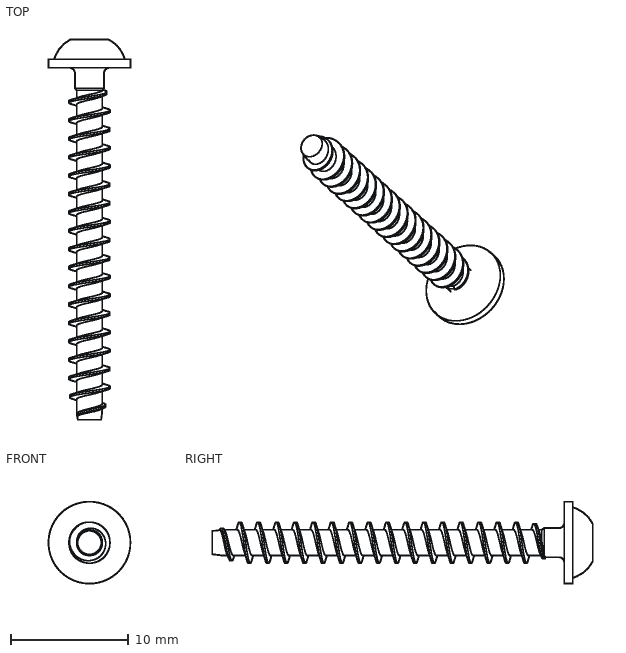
import cadquery as cq
import math

TOTAL_LENGTH = 32.4

FLANGE_RADIUS = 3.5
FLANGE_THICKNESS = 0.75
DOME_HEIGHT = 1.7
DOME_BASE_RADIUS = 3.0
DOME_MID_RADIUS = 2.53
DOME_MID_HEIGHT = 0.95
DOME_TOP_RADIUS = 1.62

SHANK_RADIUS = 1.247
SHANK_LENGTH = 1.72
NECK_FILLET = 0.45
CORE_RADIUS = 1.1
SHOULDER_LENGTH = 0.2
TIP_RADIUS = 1.0
TIP_TAPER_LENGTH = 0.8

PITCH = 1.568
CREST_RADIUS = 1.75
CREST_WIDTH = 0.15
ROOT_RADIUS = 0.9
ROOT_WIDTH = 0.58
START_CREST_RADIUS = 1.35
END_CREST_RADIUS = 1.07
FADE_IN_TURNS = 0.75
FULL_TURNS = 15.9
FADE_OUT_TURNS = 1.1
POINTS_PER_TURN = 16

HEAD_HEIGHT = FLANGE_THICKNESS + DOME_HEIGHT
TIP_Y = HEAD_HEIGHT - TOTAL_LENGTH


def make_body():
    """Revolve the head, shank and core about the Y axis."""
    fillet_mid = NECK_FILLET * (1 - math.sqrt(0.5))
    return (
        cq.Workplane("XY")
        .moveTo(0, HEAD_HEIGHT)
        .lineTo(DOME_TOP_RADIUS, HEAD_HEIGHT)
        .threePointArc(
            (DOME_MID_RADIUS, FLANGE_THICKNESS + DOME_MID_HEIGHT),
            (DOME_BASE_RADIUS, FLANGE_THICKNESS),
        )
        .lineTo(FLANGE_RADIUS, FLANGE_THICKNESS)
        .lineTo(FLANGE_RADIUS, 0)
        .lineTo(SHANK_RADIUS + NECK_FILLET, 0)
        .threePointArc(
            (SHANK_RADIUS + fillet_mid, -fillet_mid),
            (SHANK_RADIUS, -NECK_FILLET),
        )
        .lineTo(SHANK_RADIUS, -SHANK_LENGTH)
        .lineTo(CORE_RADIUS, -SHANK_LENGTH - SHOULDER_LENGTH)
        .lineTo(CORE_RADIUS, TIP_Y + TIP_TAPER_LENGTH)
        .lineTo(TIP_RADIUS, TIP_Y)
        .lineTo(0, TIP_Y)
        .close()
        .revolve(360, (0, 0, 0), (0, 1, 0))
    )


def helix_point(turn, radius, offset):
    """Point on a helix that starts at -Z and turns towards +X as it runs to -Y."""
    angle = 2 * math.pi * turn
    y = -SHANK_LENGTH - PITCH * turn + offset
    return cq.Vector(radius * math.sin(angle), y, -radius * math.cos(angle))


def helix_edge(first_turn, last_turn, first_radius, last_radius, offset):
    """Helical curve whose radius changes steadily between its two ends."""
    count = math.ceil((last_turn - first_turn) * POINTS_PER_TURN)
    points = []
    for i in range(count + 1):
        share = i / count
        turn = first_turn + share * (last_turn - first_turn)
        radius = first_radius + share * (last_radius - first_radius)
        points.append(helix_point(turn, radius, offset))
    return cq.Edge.makeSpline(points)


def end_face(turn, crest_radius):
    """Flat trapezoid closing the ridge at one end."""
    corners = [
        helix_point(turn, ROOT_RADIUS, -ROOT_WIDTH / 2),
        helix_point(turn, crest_radius, -CREST_WIDTH / 2),
        helix_point(turn, crest_radius, CREST_WIDTH / 2),
        helix_point(turn, ROOT_RADIUS, ROOT_WIDTH / 2),
    ]
    return cq.Face.makeFromWires(cq.Wire.makePolygon(corners, close=True))


def make_thread():
    """Build the ridge as one solid from its fade-in, full and fade-out stretches."""
    fade_in_end = FADE_IN_TURNS
    fade_out_start = fade_in_end + FULL_TURNS
    thread_end = fade_out_start + FADE_OUT_TURNS
    stretches = [
        (0, fade_in_end, START_CREST_RADIUS, CREST_RADIUS),
        (fade_in_end, fade_out_start, CREST_RADIUS, CREST_RADIUS),
        (fade_out_start, thread_end, CREST_RADIUS, END_CREST_RADIUS),
    ]
    faces = [end_face(0, START_CREST_RADIUS), end_face(thread_end, END_CREST_RADIUS)]
    for first, last, first_crest, last_crest in stretches:
        edges = [
            helix_edge(first, last, ROOT_RADIUS, ROOT_RADIUS, -ROOT_WIDTH / 2),
            helix_edge(first, last, first_crest, last_crest, -CREST_WIDTH / 2),
            helix_edge(first, last, first_crest, last_crest, CREST_WIDTH / 2),
            helix_edge(first, last, ROOT_RADIUS, ROOT_RADIUS, ROOT_WIDTH / 2),
        ]
        for i, edge in enumerate(edges):
            faces.append(cq.Face.makeRuledSurface(edge, edges[i - 1]))
    return cq.Workplane(cq.Solid.makeSolid(cq.Shell.makeShell(faces)).fix())


result = make_body().union(make_thread(), clean=False).solids()